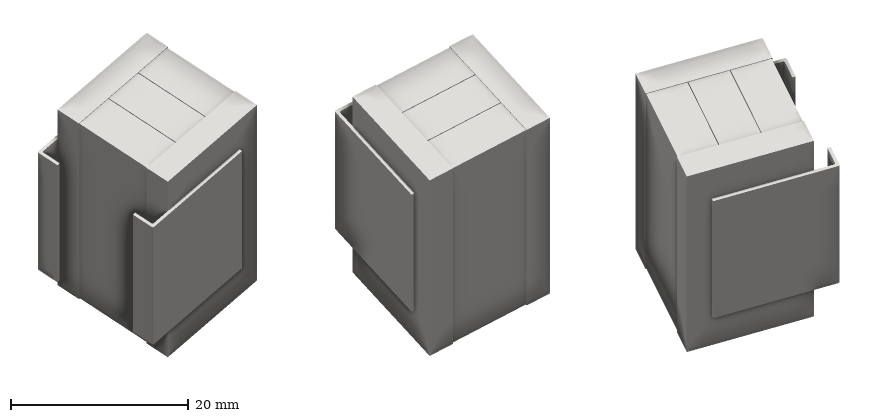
import cadquery as cq

chip_count = 3
chip_pitch = 5.1
chip_gap = 0.1
block_relief = 0.1
stack_width = 16.5
block_width = 3.2
stack_depth = chip_count * chip_pitch
stack_length = 30.0
ceramic_width = stack_width - 2 * block_width
ceramic_depth = stack_depth - 2 * block_relief
ceramic_length = stack_length - 2 * block_relief

sheet = 0.4
lead_length = 20.0
lead_depth = 15.28
foot_length = 3.0
foot_drop = 3.0
bend_radius = 0.2
lead_inner_x = stack_width / 2
lead_outer_x = lead_inner_x + sheet
foot_toe_x = lead_outer_x - foot_length
foot_bottom_y = -stack_depth / 2 - foot_drop
foot_top_y = foot_bottom_y + sheet
lead_end_y = foot_bottom_y + lead_depth


def make_stack():
    """Parallel ceramic chips with open gaps between them, joined by an end block at each side."""
    stack = cq.Workplane("XY").box(ceramic_width, ceramic_depth, ceramic_length)
    gap = cq.Workplane("XY").box(ceramic_width, chip_gap, ceramic_length)
    for number in range(1, chip_count):
        gap_y = number * chip_pitch - stack_depth / 2
        stack = stack.cut(gap.translate((0, gap_y, 0)))

    block = cq.Workplane("XY").box(block_width, stack_depth, stack_length)
    block_x = (stack_width - block_width) / 2
    for side in (-1, 1):
        stack = stack.union(block.translate((side * block_x, 0, 0)))
    return stack


def make_lead(side):
    """Sheet lead on one end block (side is -1 or 1), its foot turned in below the stack."""
    outline = [
        (side * lead_outer_x, foot_bottom_y),
        (side * lead_outer_x, lead_end_y),
        (side * lead_inner_x, lead_end_y),
        (side * lead_inner_x, foot_top_y),
        (side * foot_toe_x, foot_top_y),
        (side * foot_toe_x, foot_bottom_y),
    ]
    lead = cq.Workplane("XY").polyline(outline).close().extrude(lead_length / 2, both=True)
    inner_corner = cq.selectors.NearestToPointSelector((side * lead_inner_x, foot_top_y, 0))
    outer_corner = cq.selectors.NearestToPointSelector((side * lead_outer_x, foot_bottom_y, 0))
    lead = lead.edges(inner_corner).fillet(bend_radius)
    return lead.edges(outer_corner).fillet(bend_radius)


stack = make_stack()
leads = [make_lead(side) for side in (-1, 1)]

result = cq.Compound.makeCompound([stack.val(), *[lead.val() for lead in leads]])